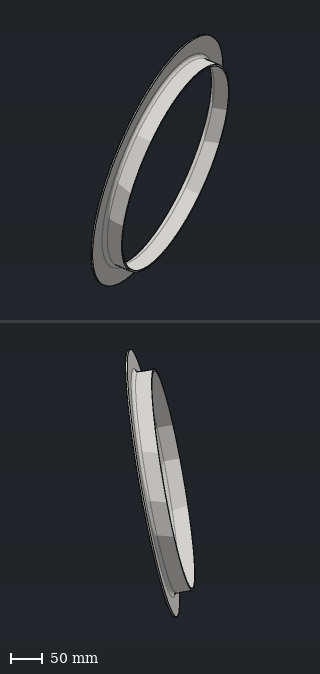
import cadquery as cq

flange_diameter = 430.0
tube_outer_diameter = 355.5
tube_inner_diameter = 349.5
overall_length = 35.0
inside_bend_radius = 6.0

flange_radius = flange_diameter / 2
tube_outer_radius = tube_outer_diameter / 2
tube_inner_radius = tube_inner_diameter / 2
sheet_thickness = tube_outer_radius - tube_inner_radius
outside_bend_radius = inside_bend_radius + sheet_thickness


def flanged_collar():
    """Sheet-metal L section with a rolled bend, revolved about the X axis."""
    bend_center_x = outside_bend_radius
    bend_center_y = tube_inner_radius + outside_bend_radius
    section = (
        cq.Workplane("XY")
        .moveTo(0, flange_radius)
        .lineTo(0, bend_center_y)
        .radiusArc((bend_center_x, tube_inner_radius), -outside_bend_radius)
        .lineTo(overall_length, tube_inner_radius)
        .lineTo(overall_length, tube_outer_radius)
        .lineTo(bend_center_x, tube_outer_radius)
        .radiusArc((sheet_thickness, bend_center_y), inside_bend_radius)
        .lineTo(sheet_thickness, flange_radius)
        .close()
    )
    return section.revolve(360, (0, 0, 0), (1, 0, 0))


result = flanged_collar()